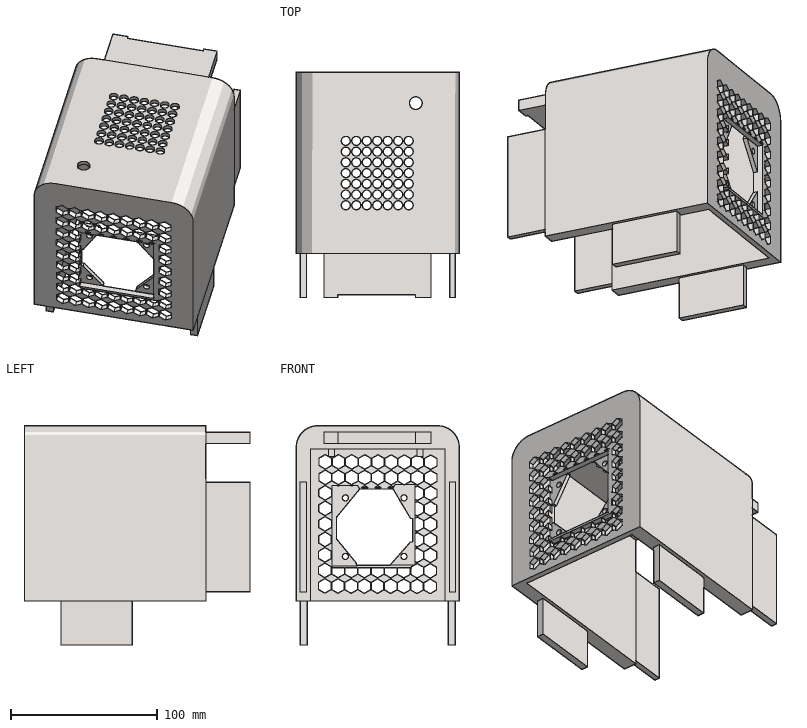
import cadquery as cq
import math

WIDTH = 111.6
HEIGHT = 120.0
DEPTH = 124.0
CORNER_RADIUS = 15.0
SIDE_WALL = 10.0
ROOF = 3.0
LIP_HEIGHT = 16.0
LIP_LENGTH = 10.0
BACK_WALL = 4.0
FRONT_SLOPE = 0.11

CAVITY_WIDTH = WIDTH - 2 * SIDE_WALL
CEILING = HEIGHT - ROOF
LIP_BOTTOM = HEIGHT - LIP_HEIGHT
BACK_FACE = DEPTH - BACK_WALL

TONGUE_REACH = 30.0
TONGUE_ROOT = 1.0
TONGUE_FRONT = -FRONT_SLOPE - TONGUE_REACH
TONGUE_OUTER_X = 53.1

SIDE_TONGUE_BOTTOM = 6.4
SIDE_TONGUE_HEIGHT = 75.0
LEFT_TONGUE_THICKNESS = 4.5
RIGHT_TONGUE_THICKNESS = 4.0

LEG_THICKNESS = 5.0
LEG_FRONT = 50.2
LEG_LENGTH = 49.0

TOP_TONGUE_LEFT = -36.8
TOP_TONGUE_WIDTH = 73.2
TOP_TONGUE_BOTTOM = 107.7
TOP_TONGUE_THICKNESS = 7.8
NOTCH_LEFT = -27.3
NOTCH_WIDTH = 53.0
NOTCH_DEPTH = 1.8

BLOCK_LEFT_EDGES = (-33.7, 26.8)
BLOCK_WIDTH = 4.1
BLOCK_HEIGHT = 5.2
BLOCK_LENGTH = 5.0

VENT_DIAMETER = 6.0
VENT_COUNT = 7
VENT_PITCH_X = 7.16
VENT_PITCH_Y = 7.33
VENT_CENTER = (-0.35, 55.0)
CABLE_HOLE_DIAMETER = 8.53
CABLE_HOLE_CENTER = (26.0, 102.8)

HEX_FLATS = 8.5
HEX_COUNT = 9
HEX_PITCH_X = 9.0
HEX_PITCH_Z = 10.6
HEX_CENTER_Z = 52.7
HEX_TILT = 0.23

FAN_X = -2.1
FAN_Z = 50.6
FAN_OPENING = 52.0
FAN_HOLE_PITCH = 40.0
FAN_HOLE_DIAMETER = 4.0
BRACKET_THICKNESS = 3.0

PATCH_LEFT = -29.2
PATCH_RIGHT = 25.0
PATCH_BOTTOM = -27.8
PATCH_TOP = 27.1

LEFT_BRACKET = [
    (-29.3, 28.4),
    (-11.6, 28.4),
    (-10.3, 25.9),
    (-26.0, 6.8),
    (-26.0, -8.0),
    (-12.6, -24.4),
    (-12.2, -26.4),
    (-29.3, -26.4),
]
RIGHT_BRACKET = [
    (27.7, 29.0),
    (14.0, 29.0),
    (12.4, 26.9),
    (12.6, 25.9),
    (24.5, 5.8),
    (26.0, 5.8),
    (26.0, -10.0),
    (24.5, -10.0),
    (10.4, -26.0),
    (27.7, -26.0),
]


def box(x, y, z, width, depth, height):
    """Box given by its lowest corner and its sizes."""
    return cq.Workplane("XY").box(width, depth, height, centered=False).translate((x, y, z))


def extrude_back(outline, front, length):
    """Extrude an (x, z) outline from y = front toward +Y."""
    return cq.Workplane("XZ", origin=(0, front, 0)).polyline(outline).close().extrude(-length)


def housing():
    side_profile = [(-FRONT_SLOPE, 0), (DEPTH, 0), (DEPTH, HEIGHT), (0, HEIGHT)]
    shell = cq.Workplane("YZ").polyline(side_profile).close().extrude(WIDTH / 2, both=True)
    shell = shell.edges("|Y and >Z").fillet(CORNER_RADIUS)
    left = -CAVITY_WIDTH / 2
    mouth = box(left, -FRONT_SLOPE, 0, CAVITY_WIDTH, LIP_LENGTH + FRONT_SLOPE, LIP_BOTTOM)
    cavity = box(left, LIP_LENGTH, 0, CAVITY_WIDTH, BACK_FACE - LIP_LENGTH, CEILING)
    return shell.cut(mouth).cut(cavity)


def side_tongues():
    length = TONGUE_ROOT - TONGUE_FRONT
    size = (length, SIDE_TONGUE_HEIGHT)
    left = box(-TONGUE_OUTER_X, TONGUE_FRONT, SIDE_TONGUE_BOTTOM, LEFT_TONGUE_THICKNESS, *size)
    right_x = TONGUE_OUTER_X - RIGHT_TONGUE_THICKNESS
    right = box(right_x, TONGUE_FRONT, SIDE_TONGUE_BOTTOM, RIGHT_TONGUE_THICKNESS, *size)
    return left.union(right)


def legs():
    height = TONGUE_REACH + TONGUE_ROOT
    left = box(-TONGUE_OUTER_X, LEG_FRONT, -TONGUE_REACH, LEG_THICKNESS, LEG_LENGTH, height)
    return left.union(left.mirror("YZ"))


def top_tongue():
    length = TONGUE_ROOT - TONGUE_FRONT
    tongue = box(
        TOP_TONGUE_LEFT, TONGUE_FRONT, TOP_TONGUE_BOTTOM, TOP_TONGUE_WIDTH, length, TOP_TONGUE_THICKNESS
    )
    notch = box(
        NOTCH_LEFT, TONGUE_FRONT, TOP_TONGUE_BOTTOM, NOTCH_WIDTH, NOTCH_DEPTH, TOP_TONGUE_THICKNESS
    )
    return tongue.cut(notch)


def lip_blocks():
    blocks = cq.Workplane("XY")
    for left in BLOCK_LEFT_EDGES:
        front = LIP_LENGTH - BLOCK_LENGTH
        bottom = LIP_BOTTOM - BLOCK_HEIGHT
        blocks = blocks.add(box(left, front, bottom, BLOCK_WIDTH, BLOCK_LENGTH, BLOCK_HEIGHT))
    return blocks.combine()


def roof_holes():
    roof = cq.Workplane("XY", origin=(0, 0, CEILING))
    vents = (
        roof.center(*VENT_CENTER)
        .rarray(VENT_PITCH_X, VENT_PITCH_Y, VENT_COUNT, VENT_COUNT)
        .circle(VENT_DIAMETER / 2)
        .extrude(ROOF)
    )
    cable_hole = roof.center(*CABLE_HOLE_CENTER).circle(CABLE_HOLE_DIAMETER / 2).extrude(ROOF)
    return vents.add(cable_hole)


def grille_holes():
    """Pointed-top hexagons through the back wall, left out where the fan patch stays solid."""
    corner_radius = HEX_FLATS / 2 / math.cos(math.radians(30))
    corner_angles = [math.radians(30 + 60 * corner) for corner in range(6)]
    hexagon = [(corner_radius * math.cos(a), corner_radius * math.sin(a)) for a in corner_angles]
    middle = (HEX_COUNT - 1) / 2
    cells = cq.Workplane("XY")
    for column in range(HEX_COUNT):
        for row in range(HEX_COUNT):
            x = (column - middle) * HEX_PITCH_X
            z = (row - middle) * HEX_PITCH_Z
            cells.add(extrude_back([(x + dx, z + dz) for dx, dz in hexagon], BACK_FACE, BACK_WALL))
    cells = cells.combine().rotate((0, 0, 0), (0, 1, 0), HEX_TILT).translate((0, 0, HEX_CENTER_Z))
    patch = box(
        FAN_X + PATCH_LEFT,
        BACK_FACE,
        FAN_Z + PATCH_BOTTOM,
        PATCH_RIGHT - PATCH_LEFT,
        BACK_WALL,
        PATCH_TOP - PATCH_BOTTOM,
    )
    return cells.cut(patch)


def fan_opening():
    half = FAN_OPENING / 2
    return box(FAN_X - half, BACK_FACE, FAN_Z - half, FAN_OPENING, BACK_WALL, FAN_OPENING)


def fan_brackets():
    """Two flat brackets on the inner face of the back wall, reaching over the fan opening."""
    front = BACK_FACE - BRACKET_THICKNESS
    brackets = extrude_back(LEFT_BRACKET, front, BRACKET_THICKNESS)
    brackets = brackets.add(extrude_back(RIGHT_BRACKET, front, BRACKET_THICKNESS)).combine()
    return brackets.translate((FAN_X, 0, FAN_Z))


def fan_screw_holes():
    front = BACK_FACE - BRACKET_THICKNESS
    return (
        cq.Workplane("XZ", origin=(FAN_X, front, FAN_Z))
        .rarray(FAN_HOLE_PITCH, FAN_HOLE_PITCH, 2, 2)
        .circle(FAN_HOLE_DIAMETER / 2)
        .extrude(-(BRACKET_THICKNESS + BACK_WALL))
    )


result = housing().cut(roof_holes()).cut(grille_holes()).cut(fan_opening())
for addition in (side_tongues(), legs(), top_tongue(), lip_blocks(), fan_brackets()):
    result = result.union(addition)
result = result.cut(fan_screw_holes())